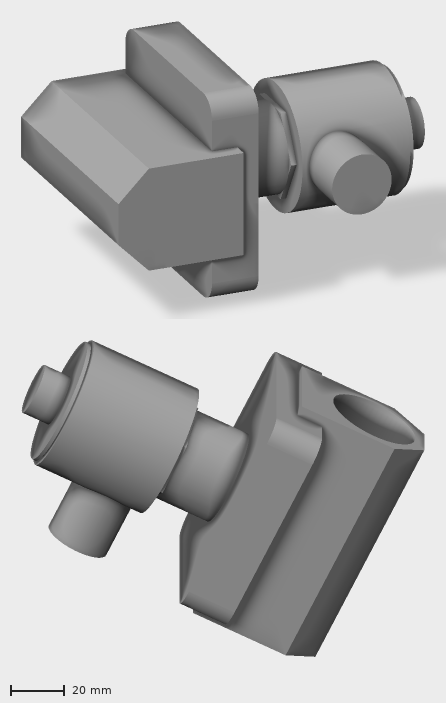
import cadquery as cq


BLOCK_LEFT = -45.0
BLOCK_LENGTH = 92.0
BLOCK_RIGHT = BLOCK_LEFT + BLOCK_LENGTH
BLOCK_HEIGHT = 41.2
BLOCK_BACK = 50.7
NOSE_CHAMFER = 12.3
BORE_DIAMETER = 34.0
BORE_AXIS_Y = 20.7
BORE_DEPTH = 15.0

FLANGE_SIZE = 82.0
FLANGE_CORNER_RADIUS = 8.1
FLANGE_FRONT = 40.5
FLANGE_BACK = 59.4

STEM_DIAMETER = 36.0
STEM_END = 81.5

NUT_ACROSS_CORNERS = 40.2
COIL_DIAMETER = 51.0
COIL_START = 83.8
COIL_END = 127.5
NECK_DIAMETER = 46.0
NECK_END = 128.0
CAP_DIAMETER = 48.0
CAP_END = 129.4
KNOB_DIAMETER = 19.6
OVERALL_LENGTH = 140.0
CONDUIT_DIAMETER = 24.1
CONDUIT_AXIS_Y = 98.6


def plane_at(y):
    """Work plane facing +Y, centred on the stem axis."""
    return cq.Workplane(cq.Plane(origin=(0, y, 0), xDir=(1, 0, 0), normal=(0, 1, 0)))


def cylinder(diameter, start, end):
    """Round section on the stem axis between two Y stations."""
    return plane_at(start).circle(diameter / 2).extrude(end - start)


def make_block():
    """Bar along X with both nose edges chamfered and a blind bore in its -X end."""
    half_height = BLOCK_HEIGHT / 2
    nose_half_height = half_height - NOSE_CHAMFER
    end_face = cq.Workplane("YZ", origin=(BLOCK_LEFT, 0, 0))
    bar = end_face.polyline([
        (BLOCK_BACK, -half_height),
        (BLOCK_BACK, half_height),
        (NOSE_CHAMFER, half_height),
        (0, nose_half_height),
        (0, -nose_half_height),
        (NOSE_CHAMFER, -half_height),
    ]).close().extrude(BLOCK_LENGTH)
    bore = end_face.center(BORE_AXIS_Y, 0).circle(BORE_DIAMETER / 2).extrude(BORE_DEPTH)
    return bar, bore


def make_flange():
    plate = plane_at(FLANGE_FRONT).rect(FLANGE_SIZE, FLANGE_SIZE).extrude(FLANGE_BACK - FLANGE_FRONT)
    return plate.edges("|Y").fillet(FLANGE_CORNER_RADIUS)


def make_valve_body():
    """Flow block, flange and stem as one casting."""
    bar, bore = make_block()
    stem = cylinder(STEM_DIAMETER, FLANGE_BACK, STEM_END)
    return bar.union(make_flange()).union(stem).cut(bore)


def make_solenoid():
    """Coil with hexagonal base nut, end cap, knob and side conduit."""
    nut = plane_at(STEM_END).polygon(6, NUT_ACROSS_CORNERS).extrude(COIL_START - STEM_END)
    coil = cylinder(COIL_DIAMETER, COIL_START, COIL_END)
    neck = cylinder(NECK_DIAMETER, COIL_END, NECK_END)
    cap = cylinder(CAP_DIAMETER, NECK_END, CAP_END)
    knob = cylinder(KNOB_DIAMETER, CAP_END, OVERALL_LENGTH)
    conduit = (
        cq.Workplane("YZ")
        .center(CONDUIT_AXIS_Y, 0)
        .circle(CONDUIT_DIAMETER / 2)
        .extrude(BLOCK_RIGHT)
    )
    return coil.union(nut).union(neck).union(cap).union(knob).union(conduit)


valve_body = make_valve_body()
solenoid = make_solenoid()

result = cq.Compound.makeCompound([valve_body.val(), solenoid.val()])